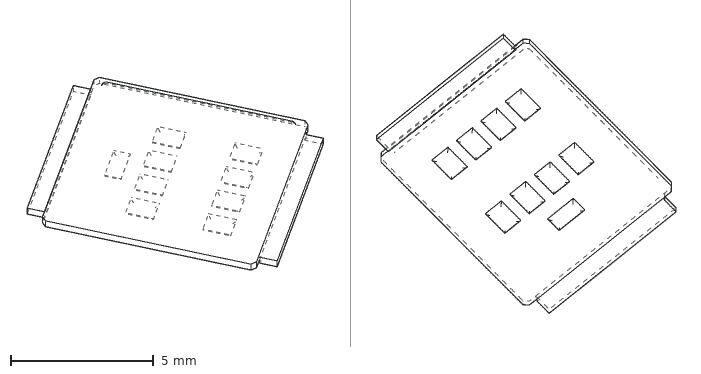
import cadquery as cq
import math

overall_length = 9.1
plate_length = 7.79
plate_width = 6.97
plate_thickness = 0.32
corner_chamfer = 0.155

pad_height = 0.13
tab_width = 5.96
tab_thickness = plate_thickness
tab_fillet = 0.06
edge_reach = 0.01

dome_height = 0.29
dome_flat_length = 6.72
dome_flat_width = 6.02
shoulder_run = 0.17
foot_run = 0.2

gate_length = 0.6
gate_width = 1.2
source_length = 1.02
source_width = 0.75
source_columns_x = (-0.71, 2.1)
source_rows = 4
source_pitch = 1.15
gate_x = -source_columns_x[1]

plate_top = pad_height + plate_thickness
dome_top = plate_top + dome_height
shoulder_drop = dome_height * shoulder_run / (shoulder_run + foot_run)
foot_rise = dome_height - shoulder_drop


def slope_midpoint(run, rise):
    """Middle of an arc that starts level at the origin and ends at (run, rise)."""
    radius = (run**2 + rise**2) / (2 * rise)
    half_angle = math.asin(run / radius) / 2
    return radius * math.sin(half_angle), radius * (1 - math.cos(half_angle))


def dome_section(plane, half_flat):
    """Half section of the dome, from its centre line out to the foot of the slope."""
    shoulder_x, shoulder_z = slope_midpoint(shoulder_run, shoulder_drop)
    foot_x, foot_z = slope_midpoint(foot_run, foot_rise)
    mid_slope = (half_flat + shoulder_run, dome_top - shoulder_drop)
    foot_end = half_flat + shoulder_run + foot_run
    section = cq.Workplane(plane).moveTo(0, plate_top).lineTo(0, dome_top)
    if half_flat > 0:
        section = section.lineTo(half_flat, dome_top)
    return (
        section
        .threePointArc((half_flat + shoulder_x, dome_top - shoulder_z), mid_slope)
        .threePointArc((foot_end - foot_x, plate_top + foot_z), (foot_end, plate_top))
        .close()
    )


def make_dome():
    """Straight slopes along the four sides of the flat top, with a revolved slope at each corner."""
    half_length = dome_flat_length / 2
    half_width = dome_flat_width / 2
    along_y = dome_section("XZ", half_length).extrude(half_width, both=True)
    along_x = dome_section("YZ", half_width).extrude(half_length, both=True)
    dome = along_y.union(along_y.mirror("YZ"))
    dome = dome.union(along_x).union(along_x.mirror("XZ"))
    corner = dome_section("XZ", 0).revolve(360, (0, 0, 0), (0, 1, 0))
    for x in (-half_length, half_length):
        for y in (-half_width, half_width):
            dome = dome.union(corner.translate((x, y, 0)))
    return dome


def make_end_tab():
    """Tab at the +X end, with its inner bottom edge rounded."""
    tab_length = (overall_length - plate_length) / 2
    return (
        cq.Workplane("XY", origin=(plate_length / 2, 0, 0))
        .box(tab_length, tab_width, tab_thickness, centered=(False, True, False))
        .edges("<X and <Z")
        .fillet(tab_fillet)
    )


def add_end_tab(plate):
    """Joins the tab to the +X end face of the plate, with fillets along its top and sides."""
    tab = make_end_tab()
    root = tab.intersect(plate.translate((plate_length / 2, 0, 0)))
    end_face_edges = cq.selectors.BoxSelector(
        (plate_length / 2 - edge_reach, -tab_width, pad_height + edge_reach),
        (plate_length / 2 + edge_reach, tab_width, tab_thickness + edge_reach),
    )
    joined = plate.union(root).edges(end_face_edges).fillet(tab_fillet)
    return joined.union(tab)


def make_can():
    """Chamfered plate, two end tabs and the dome as one solid."""
    plate = (
        cq.Workplane("XY", origin=(0, 0, pad_height))
        .rect(plate_length, plate_width)
        .extrude(plate_thickness)
        .edges("|Z")
        .chamfer(corner_chamfer)
    )
    right_half = add_end_tab(plate)
    return right_half.union(right_half.mirror("YZ")).union(make_dome())


def make_pad(length, width, x, y):
    """Pad with a quarter-round rim as tall as the pad itself."""
    blank = (
        cq.Workplane("XY", origin=(x, y, 0))
        .rect(length, width)
        .extrude(2 * pad_height)
        .faces("<Z")
        .edges()
        .fillet(pad_height)
    )
    return blank.faces("<Z").workplane(offset=-pad_height).split(keepTop=True)


can = make_can()
gate_pad = make_pad(gate_length, gate_width, gate_x, 0)

source_pads = []
for column_x in source_columns_x:
    for row in range(source_rows):
        row_y = (row - (source_rows - 1) / 2) * source_pitch
        source_pads.append(make_pad(source_length, source_width, column_x, row_y).val())

result = cq.Compound.makeCompound([can.val(), gate_pad.val(), *source_pads])